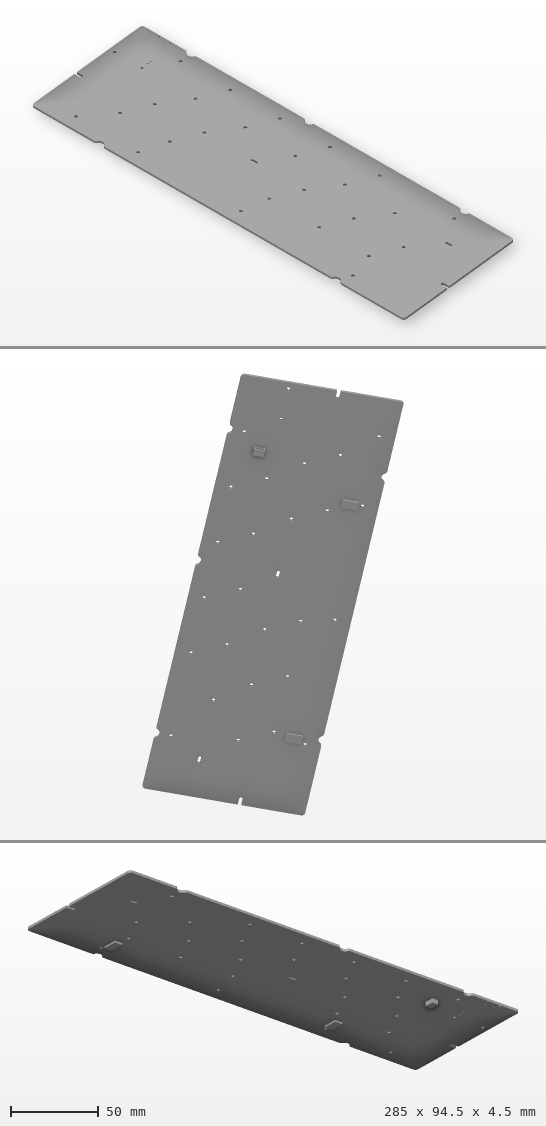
import cadquery as cq
import math

BOARD_LENGTH = 285.0
BOARD_WIDTH = 94.5
BOARD_THICKNESS = 1.6
CORNER_RADIUS = 2.0

KEY_COLUMNS = 15
KEY_GAP = 0.75
KEY_PITCH = (BOARD_LENGTH + KEY_GAP) / KEY_COLUMNS

HOLE_DIAMETER = 2.2
HOLE_ROWS = {
    2: (-5.5, -3.5, -1.5, 0.5, 2.5, 5.5),
    1: (-7.25, -4, -2, 0, 2, 4),
    0: (-4.75, -2.75, 1.25, 3.25, 5.25),
    -1: (-5.25, -3.25, 0.75, 2.75, 4.75),
    -2: (-6.125, -3.625, 0.5, 5),
}

LOCATING_WIDTH = 1.77
LOCATING_LENGTH = 4.8
LOCATING_COLUMN = 6.16
LOCATING_HOLES = ((-LOCATING_COLUMN, 1),)
LOCATING_OBLONGS = ((LOCATING_COLUMN, 1), (-0.75, 0))

EDGE_SLOT_DEPTH = 5.0
EDGE_SLOT_WIDTH = HOLE_DIAMETER
EDGE_SLOT_ROW = -0.5

NOTCH_RADIUS = 3.0
NOTCH_LIP_RADIUS = 1.7
NOTCH_DEPTH = 2.5
BACK_NOTCH_COLUMNS = (-5.5, -0.75, 5.5)
FRONT_NOTCH_COLUMNS = (-4.75, 4.75)

USB_X = -124.3
USB_LEG_Y = 46.5
USB_LEG_SPACING = 8.5
USB_LEG_DIAMETER = 1.0
USB_PEG_Y = 43.0
USB_PEG_SPACING = 5.7
USB_PEG_DIAMETER = 0.65

HEADER_X = -117.5
HEADER_Y = 25.5
HEADER_PITCH = 2.5
HEADER_DIAMETER = 1.0

CHIP_LENGTH_X = 5.5
CHIP_LENGTH_Y = 9.7
CHIP_HEIGHT = 1.0
CHIP_Y = -30.8
CHIP_XS = (-69.0, 92.0)

OVERALL_HEIGHT = 4.5
CONNECTOR_FRONT_X = -96.3
CONNECTOR_Y = 27.5
CONNECTOR_DEPTH = 4.3
CONNECTOR_WIDTH = 6.3
CONNECTOR_HEIGHT = OVERALL_HEIGHT - BOARD_THICKNESS
CONNECTOR_BACK_X = CONNECTOR_FRONT_X + CONNECTOR_DEPTH

MOUTH_WIDTH = 4.8
MOUTH_HEIGHT = 1.5
MOUTH_DEPTH = 3.0

CONTACT_COUNT = 4
CONTACT_PITCH = 1.0
CONTACT_WIDTH = 0.3
CONTACT_REACH = 2.0

TAB_LENGTH = 0.9
TAB_WIDTH = 0.5
TAB_HEIGHT = 0.9


def box(x_range, y_range, z_range):
    """Box between two limits on each axis."""
    lows, highs = zip(x_range, y_range, z_range)
    sizes = [high - low for low, high in zip(lows, highs)]
    return cq.Workplane("XY").box(*sizes, centered=False).translate(lows)


def around(middle, length):
    """Limits of a length centred on a middle."""
    return (middle - length / 2, middle + length / 2)


def edge_notch(column, side):
    """Cutter for a rounded notch in the long edge at +Y (side 1) or -Y (side -1)."""
    centre_height = NOTCH_RADIUS - NOTCH_DEPTH
    reach = NOTCH_RADIUS + NOTCH_LIP_RADIUS
    lip_angle = math.acos((centre_height + NOTCH_LIP_RADIUS) / reach)
    half_width = reach * math.sin(lip_angle)

    def lip_point(angle):
        x = half_width - NOTCH_LIP_RADIUS * math.sin(angle)
        return (x, -NOTCH_LIP_RADIUS * (1 - math.cos(angle)))

    lip_end_x, lip_end_y = lip_point(lip_angle)
    lip_middle_x, lip_middle_y = lip_point(lip_angle / 2)
    cutter = (
        cq.Workplane("XY")
        .moveTo(-half_width, 0)
        .threePointArc((-lip_middle_x, lip_middle_y), (-lip_end_x, lip_end_y))
        .threePointArc((0, -NOTCH_DEPTH), (lip_end_x, lip_end_y))
        .threePointArc((lip_middle_x, lip_middle_y), (half_width, 0))
        .close()
        .extrude(BOARD_THICKNESS)
    )
    if side < 0:
        cutter = cutter.mirror("XZ")
    return cutter.translate((column * KEY_PITCH, side * BOARD_WIDTH / 2, 0))


def grid_points(places):
    """X and Y of places given as (column, row) in pitches."""
    return [(column * KEY_PITCH, row * KEY_PITCH) for column, row in places]


def round_holes(points, diameter):
    """Cutter for round holes through the board."""
    return cq.Workplane("XY").pushPoints(points).circle(diameter / 2).extrude(BOARD_THICKNESS)


def slots(points, length, width):
    """Cutter for round-ended slots along X through the board."""
    return cq.Workplane("XY").pushPoints(points).slot2D(length, width).extrude(BOARD_THICKNESS)


def make_board():
    board = (
        cq.Workplane("XY")
        .box(BOARD_LENGTH, BOARD_WIDTH, BOARD_THICKNESS, centered=(True, True, False))
        .edges("|Z")
        .fillet(CORNER_RADIUS)
    )

    for column in BACK_NOTCH_COLUMNS:
        board = board.cut(edge_notch(column, 1))
    for column in FRONT_NOTCH_COLUMNS:
        board = board.cut(edge_notch(column, -1))

    edge_slot_points = [(side * BOARD_LENGTH / 2, EDGE_SLOT_ROW * KEY_PITCH) for side in (-1, 1)]
    board = board.cut(slots(edge_slot_points, 2 * EDGE_SLOT_DEPTH, EDGE_SLOT_WIDTH))

    hole_places = [(column, row) for row, columns in HOLE_ROWS.items() for column in columns]
    board = board.cut(round_holes(grid_points(hole_places), HOLE_DIAMETER))
    board = board.cut(round_holes(grid_points(LOCATING_HOLES), LOCATING_WIDTH))
    board = board.cut(slots(grid_points(LOCATING_OBLONGS), LOCATING_LENGTH, LOCATING_WIDTH))

    leg_points = [(x, USB_LEG_Y) for x in around(USB_X, USB_LEG_SPACING)]
    board = board.cut(round_holes(leg_points, USB_LEG_DIAMETER))

    peg_points = [(x, USB_PEG_Y) for x in around(USB_X, USB_PEG_SPACING)]
    board = board.cut(round_holes(peg_points, USB_PEG_DIAMETER))

    header_points = [(HEADER_X, y) for y in around(HEADER_Y, HEADER_PITCH)]
    return board.cut(round_holes(header_points, HEADER_DIAMETER))


def make_chip(x):
    return box(around(x, CHIP_LENGTH_X), around(CHIP_Y, CHIP_LENGTH_Y), (-CHIP_HEIGHT, 0))


def make_contact(index):
    """Straight contact through the back wall, pointing into the mouth."""
    y = CONNECTOR_Y + (index - (CONTACT_COUNT - 1) / 2) * CONTACT_PITCH
    x_range = (CONNECTOR_FRONT_X + MOUTH_DEPTH - CONTACT_REACH, CONNECTOR_BACK_X)
    return box(x_range, around(y, CONTACT_WIDTH), around(-CONNECTOR_HEIGHT / 2, CONTACT_WIDTH))


def make_tab(side):
    """Solder tab set into a corner of the housing beside its mouth, against the board."""
    outer_y = side * CONNECTOR_WIDTH / 2
    inner_y = outer_y - side * TAB_WIDTH
    y_range = sorted((CONNECTOR_Y + outer_y, CONNECTOR_Y + inner_y))
    return box((CONNECTOR_FRONT_X, CONNECTOR_FRONT_X + TAB_LENGTH), y_range, (-TAB_HEIGHT, 0))


def make_housing(fitted_bodies):
    """Connector housing with its mouth, and recesses for the bodies fitted into it."""
    y_range = around(CONNECTOR_Y, CONNECTOR_WIDTH)
    housing = box((CONNECTOR_FRONT_X, CONNECTOR_BACK_X), y_range, (-CONNECTOR_HEIGHT, 0))
    mouth = box(
        (CONNECTOR_FRONT_X, CONNECTOR_FRONT_X + MOUTH_DEPTH),
        around(CONNECTOR_Y, MOUTH_WIDTH),
        around(-CONNECTOR_HEIGHT / 2, MOUTH_HEIGHT),
    )
    housing = housing.cut(mouth)
    for body in fitted_bodies:
        housing = housing.cut(body)
    return housing


board = make_board()
chips = [make_chip(x) for x in CHIP_XS]
contacts = [make_contact(index) for index in range(CONTACT_COUNT)]
tabs = [make_tab(side) for side in (-1, 1)]
housing = make_housing(contacts + tabs)

bodies = [board, housing, *chips, *contacts, *tabs]
result = cq.Compound.makeCompound([body.val() for body in bodies])